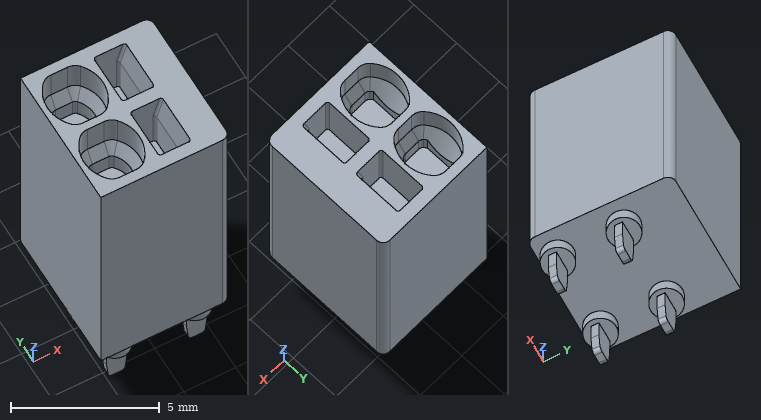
import cadquery as cq
import math

TOTAL_HEIGHT = 12.1
HOUSING_HEIGHT = 10.0
HOUSING_X = 5.0
HOUSING_Y = 5.5
HOUSING_EDGE_RADIUS = 0.31
POLE_PITCH = 2.5
POLE_YS = (-POLE_PITCH / 2, POLE_PITCH / 2)

ENTRY_X = -HOUSING_X / 2 + 1.27
MOUTH_HALF_X = 1.06
MOUTH_HALF_Y = 1.1
MOUTH_SIDE_RADIUS = 1.4
SIDE_ARC_CENTRE_X = MOUTH_SIDE_RADIUS - MOUTH_HALF_X
MOUTH_CORNER_RADIUS = 0.53
MOUTH_DEPTH = 1.21
FUNNEL_STEEPNESS = 1.5
FUNNEL_TIP_INSET = 0.52
THROAT_INSET = 0.33
THROAT_FLAT_X = -0.56
THROAT_DEPTH = 1.21

SLOT_X_MIN = -HOUSING_X / 2 + 2.53
SLOT_LENGTH_X = 1.23
SLOT_FLOOR_LENGTH_X = 0.98
SLOT_WIDTH_Y = 2.0
SLOT_SLOPE_DEPTH = 0.9
SLOT_DEPTH = 2.42
SLOT_CORNER_RADIUS = 0.1

PIN_XS = (-HOUSING_X / 2 + 0.91, -HOUSING_X / 2 + 3.99)
PIN_OFFSET_Y = -0.83
COLLAR_DIAMETER = 1.2
COLLAR_HEIGHT = 0.5
BLADE_WIDTH = 0.8
BLADE_THICKNESS = 0.3
BLADE_LENGTH = TOTAL_HEIGHT - HOUSING_HEIGHT - COLLAR_HEIGHT
BLADE_STRAIGHT_LENGTH = 0.81
BLADE_TIP_WIDTH = 0.63
BLADE_TIP_RADIUS = 0.17


def entry_outline(inset, z):
    """Entry outline shrunk by inset: flat ends in Y, bulging arcs in X, joined by tangent corner arcs."""
    half_x = MOUTH_HALF_X - inset
    half_y = MOUTH_HALF_Y - inset
    corner_radius = MOUTH_CORNER_RADIUS - inset
    corner_y = MOUTH_HALF_Y - MOUTH_CORNER_RADIUS
    centre_distance = MOUTH_SIDE_RADIUS - MOUTH_CORNER_RADIUS
    corner_x = math.sqrt(centre_distance**2 - corner_y**2) - SIDE_ARC_CENTRE_X
    tangent_angle = math.asin(corner_y / centre_distance)
    middle_angle = (tangent_angle + math.pi / 2) / 2

    def corner_point(angle, x_sign, y_sign):
        x = corner_x + corner_radius * math.cos(angle)
        y = corner_y + corner_radius * math.sin(angle)
        return (x_sign * x, y_sign * y)

    return (
        cq.Workplane("XY", origin=(0, 0, z))
        .moveTo(corner_x, -half_y)
        .threePointArc(corner_point(middle_angle, 1, -1), corner_point(tangent_angle, 1, -1))
        .threePointArc((half_x, 0), corner_point(tangent_angle, 1, 1))
        .threePointArc(corner_point(middle_angle, 1, 1), (corner_x, half_y))
        .lineTo(-corner_x, half_y)
        .threePointArc(corner_point(middle_angle, -1, 1), corner_point(tangent_angle, -1, 1))
        .threePointArc((-half_x, 0), corner_point(tangent_angle, -1, -1))
        .threePointArc(corner_point(middle_angle, -1, -1), (-corner_x, -half_y))
        .close()
    )


def wire_entry():
    funnel_top = HOUSING_HEIGHT - MOUTH_DEPTH
    funnel_tip = funnel_top - FUNNEL_TIP_INSET * FUNNEL_STEEPNESS
    mouth = entry_outline(0, funnel_top).extrude(MOUTH_DEPTH)
    funnel_ends = [entry_outline(0, funnel_top).val(), entry_outline(FUNNEL_TIP_INSET, funnel_tip).val()]
    funnel = cq.Workplane(cq.Solid.makeLoft(funnel_ends, True))

    flat_side = (
        cq.Workplane("XY", origin=(THROAT_FLAT_X - MOUTH_HALF_X, 0, 0))
        .box(MOUTH_HALF_X, 2 * MOUTH_HALF_Y, HOUSING_HEIGHT, centered=(False, True, False))
    )
    throat = entry_outline(THROAT_INSET, funnel_top).extrude(-THROAT_DEPTH).cut(flat_side)
    return mouth.union(funnel).union(throat)


def release_slot():
    floor_z = HOUSING_HEIGHT - SLOT_DEPTH
    return (
        cq.Workplane("XZ", origin=(SLOT_X_MIN, SLOT_WIDTH_Y / 2, 0))
        .moveTo(0, floor_z)
        .lineTo(SLOT_FLOOR_LENGTH_X, floor_z)
        .lineTo(SLOT_FLOOR_LENGTH_X, HOUSING_HEIGHT - SLOT_SLOPE_DEPTH)
        .lineTo(SLOT_LENGTH_X, HOUSING_HEIGHT)
        .lineTo(0, HOUSING_HEIGHT)
        .close()
        .extrude(SLOT_WIDTH_Y)
        .edges("not (|X or |Y)")
        .fillet(SLOT_CORNER_RADIUS)
    )


def solder_pin():
    collar = cq.Workplane("XY").circle(COLLAR_DIAMETER / 2).extrude(-COLLAR_HEIGHT)
    blade = (
        cq.Workplane("XZ", origin=(0, BLADE_THICKNESS / 2, -COLLAR_HEIGHT))
        .moveTo(-BLADE_WIDTH / 2, 0)
        .lineTo(BLADE_WIDTH / 2, 0)
        .lineTo(BLADE_WIDTH / 2, -BLADE_STRAIGHT_LENGTH)
        .lineTo(BLADE_TIP_WIDTH / 2, -BLADE_LENGTH)
        .lineTo(-BLADE_TIP_WIDTH / 2, -BLADE_LENGTH)
        .lineTo(-BLADE_WIDTH / 2, -BLADE_STRAIGHT_LENGTH)
        .close()
        .extrude(BLADE_THICKNESS)
        .faces("<Z")
        .edges("|Y")
        .fillet(BLADE_TIP_RADIUS)
    )
    return collar.union(blade)


result = (
    cq.Workplane("XY")
    .box(HOUSING_X, HOUSING_Y, HOUSING_HEIGHT, centered=(True, True, False))
    .edges("|Z and >X")
    .fillet(HOUSING_EDGE_RADIUS)
)
for pole_y in POLE_YS:
    result = result.cut(wire_entry().translate((ENTRY_X, pole_y, 0)))
    result = result.cut(release_slot().translate((0, pole_y, 0)))
    for pin_x in PIN_XS:
        result = result.union(solder_pin().translate((pin_x, pole_y + PIN_OFFSET_Y, 0)))